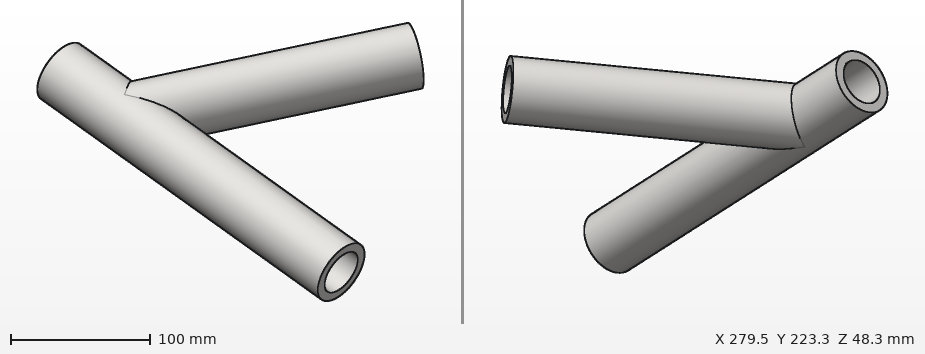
import cadquery as cq
import math

outer_diameter = 48.3
bore_diameter = 34.0
main_length = 279.5
branch_length = 216.0
branch_angle = 60.0
branch_position = 63.5

main_plane = cq.Plane(origin=(0, 0, 0), xDir=(0, 1, 0), normal=(1, 0, 0))

angle = math.radians(branch_angle)
branch_plane = cq.Plane(
    origin=(branch_position, 0, 0),
    xDir=(0, 0, 1),
    normal=(math.cos(angle), math.sin(angle), 0),
)


def cylinder(plane, diameter, length):
    """Solid round bar standing on the given plane."""
    return cq.Workplane(plane).circle(diameter / 2).extrude(length)


body = cylinder(main_plane, outer_diameter, main_length).union(
    cylinder(branch_plane, outer_diameter, branch_length)
)
main_bore = cylinder(main_plane, bore_diameter, main_length)
branch_bore = cylinder(branch_plane, bore_diameter, branch_length)

result = body.cut(main_bore).cut(branch_bore)